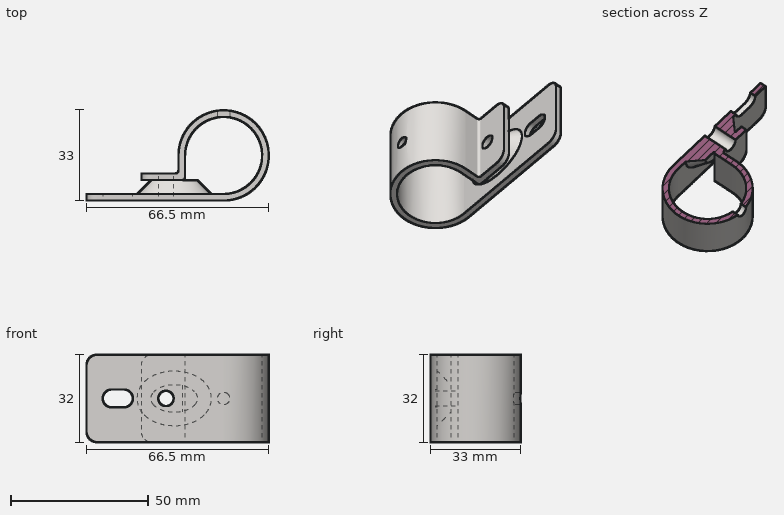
import cadquery as cq
import math

width = 32.0
thickness = 2.5
ring_radius = 16.5
ring_inner_radius = ring_radius - thickness
ring_x = 50.0
ring_y = ring_radius
mid_z = width / 2
corner_radius = 4.0

gap = 5.0
tab_start_x = 20.0
tab_front_y = thickness + gap
tab_back_y = tab_front_y + thickness
leg_outer_x = ring_x - ring_radius
leg_inner_x = leg_outer_x + thickness
bend_radius = 1.0

slot_width = 6.4
slot_length = 10.9
slot_x = 11.45
screw_diameter = 5.51
screw_x = 29.0
ring_hole_diameter = 4.5

spacer_x = 32.0
spacer_top_length = 17.0
spacer_top_width = 10.0
spacer_draft = 45.0


def bent_strip():
    """Plate, three-quarter ring, leg and tab bent from one strip."""
    diagonal = math.sqrt(0.5)
    outer_mid = (ring_x + ring_radius * diagonal, ring_y + ring_radius * diagonal)
    inner_mid = (ring_x + ring_inner_radius * diagonal, ring_y + ring_inner_radius * diagonal)
    strip = (
        cq.Workplane("XY")
        .moveTo(0, 0)
        .lineTo(ring_x, 0)
        .threePointArc(outer_mid, (leg_outer_x, ring_y))
        .lineTo(leg_outer_x, tab_back_y)
        .lineTo(tab_start_x, tab_back_y)
        .lineTo(tab_start_x, tab_front_y)
        .lineTo(leg_inner_x, tab_front_y)
        .lineTo(leg_inner_x, ring_y)
        .threePointArc(inner_mid, (ring_x, thickness))
        .lineTo(0, thickness)
        .close()
        .extrude(width)
    )
    inner_bend = cq.selectors.NearestToPointSelector((leg_outer_x, tab_back_y, mid_z))
    outer_bend = cq.selectors.NearestToPointSelector((leg_inner_x, tab_front_y, mid_z))
    strip = strip.edges(inner_bend).fillet(bend_radius)
    strip = strip.edges(outer_bend).fillet(bend_radius)
    return round_free_end(round_free_end(strip, 0, 0), tab_start_x, tab_front_y)


def round_free_end(strip, end_x, front_y):
    """Round the two corners at a free end of the strip."""
    for corner_z in (0, width):
        corner = cq.selectors.NearestToPointSelector((end_x, front_y + thickness / 2, corner_z))
        strip = strip.edges(corner).fillet(corner_radius)
    return strip


def spacer():
    """Tapered boss with an elliptical top, standing on the plate and touching the tab."""
    return (
        cq.Workplane("XZ", origin=(spacer_x, tab_front_y, mid_z))
        .ellipse(spacer_top_length / 2, spacer_top_width / 2)
        .extrude(gap, taper=-spacer_draft)
    )


def mounting_slot():
    """Oblong hole through the plate."""
    return (
        cq.Workplane("XZ", origin=(slot_x, 0, mid_z))
        .slot2D(slot_length, slot_width)
        .extrude(-thickness)
    )


def screw_hole():
    """Round hole through plate, spacer and tab."""
    return (
        cq.Workplane("XZ", origin=(screw_x, 0, mid_z))
        .circle(screw_diameter / 2)
        .extrude(-tab_back_y)
    )


def ring_hole():
    """Round hole through the back wall of the ring."""
    return (
        cq.Workplane("XZ", origin=(ring_x, ring_y, mid_z))
        .circle(ring_hole_diameter / 2)
        .extrude(-ring_radius)
    )


result = (
    bent_strip()
    .union(spacer())
    .cut(mounting_slot())
    .cut(screw_hole())
    .cut(ring_hole())
)